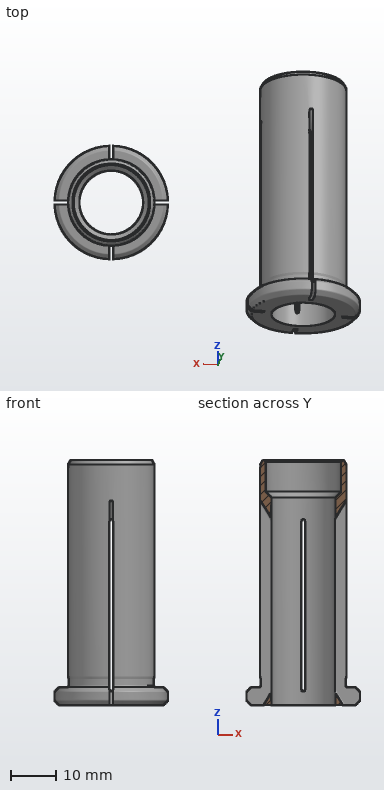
import cadquery as cq
import math

rim_slope = math.tan(math.radians(30))

length = 54.0
barrel_radius = 19.05 / 2
top_chamfer_height = 1.0
top_chamfer_width = top_chamfer_height * rim_slope
top_rounding = 0.5

flange_radius = 25.0 / 2
flange_height = 4.0
flange_chamfer = 1.0
flange_rounding = 0.4

neck_radius = 18.75 / 2
neck_fillet = 0.4
neck_taper_start = 5.7
neck_taper_end = 6.25

bore_radius = 14.0 / 2
counterbore_radius = 16.5 / 2
counterbore_depth = 7.0
counterbore_cone_height = counterbore_radius - bore_radius
rim_chamfer_height = 0.55
rim_chamfer_width = rim_chamfer_height * rim_slope

slot_count = 4
slot_width = 0.85
slot_top = 45.05
slot_disc_radius = 40.0
slot_disc_height = 22.0


def revolve_about_z(profile):
    """Full turn of a closed profile drawn with radius along X and height along Z."""
    return profile.revolve(360, (0, 0, 0), (0, 1, 0))


def make_flange():
    """Solid flange disc with 45 degree chamfers, all corners rounded."""
    disc = cq.Workplane("XY").circle(flange_radius).extrude(flange_height)
    return disc.edges("%CIRCLE").chamfer(flange_chamfer).edges("%CIRCLE").fillet(flange_rounding)


def make_barrel():
    """Solid barrel and relief neck, filleted onto the flange and reaching down through it."""
    fillet_mid = neck_fillet * (1 - math.sqrt(0.5))
    profile = (
        cq.Workplane("XZ")
        .lineTo(neck_radius + neck_fillet, 0)
        .lineTo(neck_radius + neck_fillet, flange_height)
        .threePointArc(
            (neck_radius + fillet_mid, flange_height + fillet_mid),
            (neck_radius, flange_height + neck_fillet),
        )
        .lineTo(neck_radius, neck_taper_start)
        .lineTo(barrel_radius, neck_taper_end)
        .lineTo(barrel_radius, length - top_chamfer_height)
        .lineTo(barrel_radius - top_chamfer_width, length)
        .lineTo(0, length)
        .close()
    )
    return revolve_about_z(profile).faces(">Z").edges().fillet(top_rounding)


def make_bore():
    """Cutter for the bore, its cone, the counterbore and the chamfer at the rim."""
    cone_top = length - counterbore_depth
    profile = (
        cq.Workplane("XZ")
        .lineTo(bore_radius, 0)
        .lineTo(bore_radius, cone_top - counterbore_cone_height)
        .lineTo(counterbore_radius, cone_top)
        .lineTo(counterbore_radius, length - rim_chamfer_height)
        .lineTo(counterbore_radius + rim_chamfer_width, length)
        .lineTo(0, length)
        .close()
    )
    return revolve_about_z(profile)


def make_slot_disc():
    """Round-edged disc standing in the XZ plane, meeting the barrel at slot_top."""
    half_width = slot_width / 2
    half_chord = slot_top - slot_disc_height
    axis_x = barrel_radius + math.sqrt(slot_disc_radius**2 - half_chord**2)
    tip_x = axis_x - slot_disc_radius
    profile = (
        cq.Workplane("XY")
        .workplane(offset=slot_disc_height)
        .moveTo(axis_x, -half_width)
        .lineTo(tip_x + half_width, -half_width)
        .threePointArc((tip_x, 0), (tip_x + half_width, half_width))
        .lineTo(axis_x, half_width)
        .close()
    )
    return profile.revolve(360, (axis_x, 0, 0), (axis_x, 1, 0))


result = make_flange().union(make_barrel()).cut(make_bore())

slot_disc = make_slot_disc()
for index in range(slot_count):
    angle = index * 360 / slot_count
    result = result.cut(slot_disc.rotate((0, 0, 0), (0, 0, 1), angle))